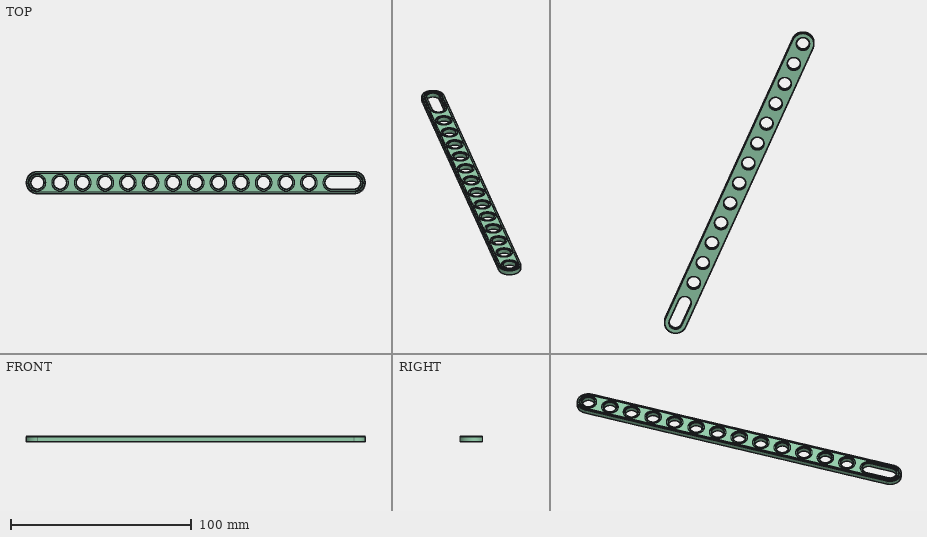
import cadquery as cq

length = 187.5
spaces = 15
thickness = 3.2
hole_diameter = 7.0
collar_diameter = 9.2
rim_width = 1.1
recess_depth = 0.25
edge_break = 0.32

pitch = length / spaces
width = pitch
hole_count = spaces - 2
first_hole_x = (pitch - length) / 2
hole_centers = [(first_hole_x + i * pitch, 0) for i in range(hole_count)]
slot_center_x = length / 2 - pitch
recess_floor = thickness - recess_depth


def strip_body(inset, base, height):
    """Strip with full-round ends, shrunk by inset all round."""
    plane = cq.Workplane("XY", origin=(0, 0, base))
    return plane.slot2D(length - 2 * inset, width - 2 * inset).extrude(height)


def hole_pattern(diameter, base, height):
    """Cylinders at every hole and a long body at the +X slot, all of one width."""
    plane = cq.Workplane("XY", origin=(0, 0, base))
    cylinders = plane.pushPoints(hole_centers).circle(diameter / 2).extrude(height)
    slot = plane.center(slot_center_x, 0).slot2D(pitch + diameter, diameter).extrude(height)
    return cylinders.union(slot)


strip = strip_body(0, 0, thickness).cut(hole_pattern(hole_diameter, 0, thickness))
strip = strip.faces("<Z or >Z").edges().chamfer(edge_break)

recess = strip_body(rim_width, recess_floor, recess_depth)
recess = recess.cut(hole_pattern(collar_diameter, recess_floor, recess_depth))

result = strip.cut(recess)